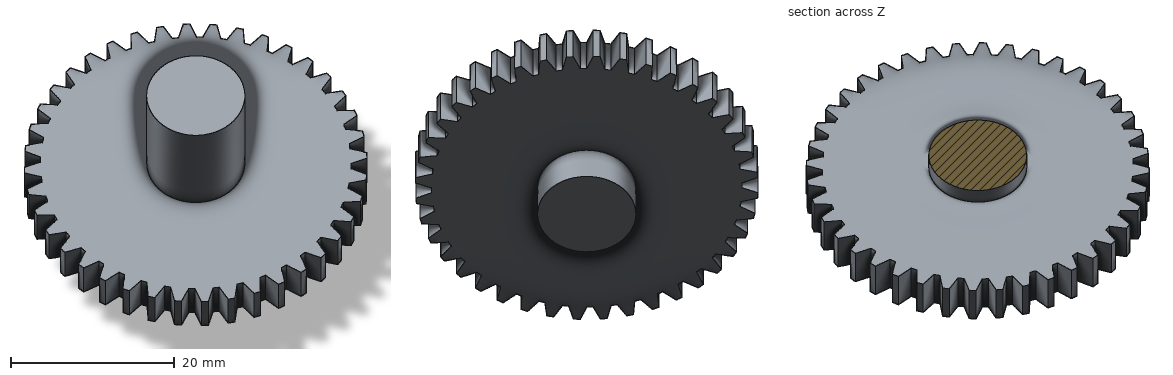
import cadquery as cq
import math

tooth_count = 40
tip_radius = 20.95
root_radius = 18.98
tip_half_angle = 1.15
root_half_angle = 3.36
first_tooth_angle = 5.63
gear_thickness = 5.0

shaft_diameter = 12.0
shaft_length_below = 5.0
shaft_length_above = 14.0
shaft_length = shaft_length_below + gear_thickness + shaft_length_above


def polar_point(radius, angle):
    """Point at a radius and an angle in degrees about the gear axis."""
    angle_rad = math.radians(angle)
    return (radius * math.cos(angle_rad), radius * math.sin(angle_rad))


def tooth_points(centre_angle):
    """Corners of one straight-flanked tooth, counter-clockwise."""
    return [
        polar_point(root_radius, centre_angle - root_half_angle),
        polar_point(tip_radius, centre_angle - tip_half_angle),
        polar_point(tip_radius, centre_angle + tip_half_angle),
        polar_point(root_radius, centre_angle + root_half_angle),
    ]


def make_gear():
    """Toothed disc with its lower face on Z = 0."""
    tooth_pitch = 360.0 / tooth_count
    outline = []
    for index in range(tooth_count):
        outline += tooth_points(first_tooth_angle + index * tooth_pitch)
    return cq.Workplane("XY").polyline(outline).close().extrude(gear_thickness)


def make_shaft():
    """Plain round shaft standing out on both sides of the gear."""
    base = cq.Workplane("XY").workplane(offset=-shaft_length_below)
    return base.circle(shaft_diameter / 2).extrude(shaft_length)


result = make_gear().union(make_shaft())